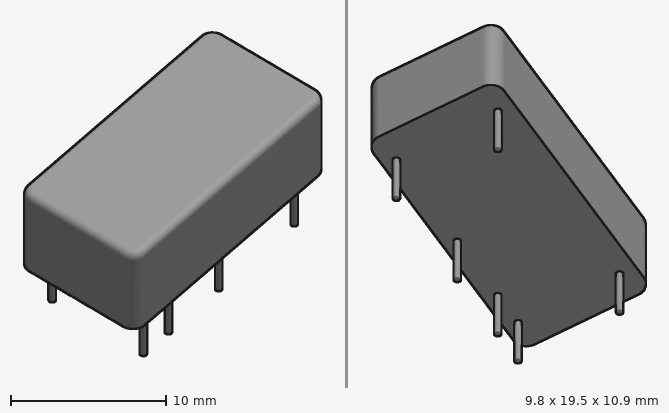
import cadquery as cq

housing_width = 9.8
housing_length = 19.5
housing_height = 6.8
corner_radius = 1.0
rim_radius = 0.5

pin_diameter = 0.5
pin_length = 4.1
tip_radius = 0.1
row_spacing = 7.62
pin_pitch = row_spacing / 3
row_center_x = 0.12
first_pin_y = 7.53
left_row_steps = [0, 6]
right_row_steps = [0, 3, 5, 6]


def make_housing():
    block = cq.Workplane("XY").box(
        housing_width, housing_length, housing_height, centered=(True, True, False)
    )
    return block.edges("|Z").fillet(corner_radius).faces(">Z").edges().fillet(rim_radius)


def make_pin(x, y):
    """A round pin with a rounded tip, touching the housing underside at x, y."""
    pin = cq.Workplane("XY").circle(pin_diameter / 2).extrude(-pin_length)
    return pin.faces("<Z").edges().fillet(tip_radius).translate((x, y, 0))


housing = make_housing()

pins = []
for side, steps in ((-1, left_row_steps), (1, right_row_steps)):
    pin_x = row_center_x + side * row_spacing / 2
    for step in steps:
        pin_y = first_pin_y - step * pin_pitch
        pins.append(make_pin(pin_x, pin_y).val())

result = cq.Compound.makeCompound([housing.val(), *pins])